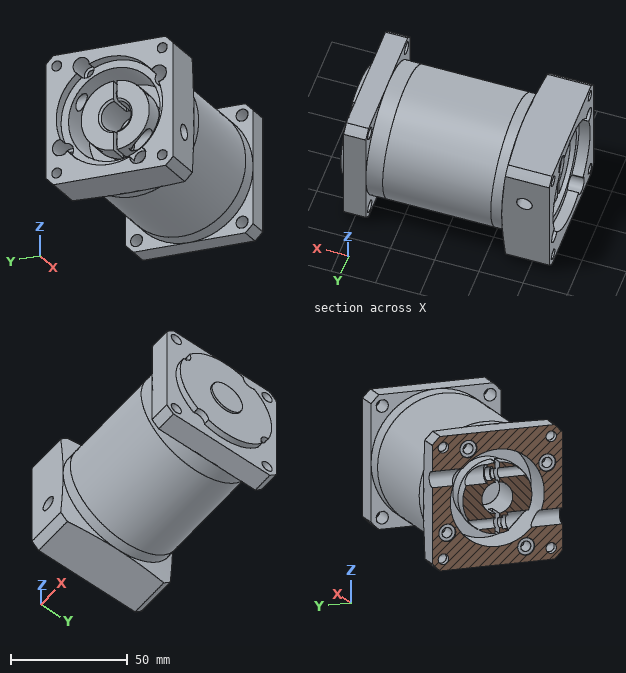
import cadquery as cq
import math


cone_start = 19.9
input_plate_end = 21.5
tube_start = 26.5
tube_end = 75.4
output_plate_start = 82.9
output_plate_end = 93.1
pilot_end = 96.0
gearbox_end = 97.0

plate_width = 60.0
body_radius = plate_width / 2
corner_radius = 40.0
corner_hole_spacing = 49.7
input_corner_hole_diameter = 4.6
input_corner_hole_depth = 13.6
output_corner_hole_diameter = 5.5
drill_point_angle = 118.0

recess_radius = 25.0
recess_depth = 5.0
cavity_radius = 21.5

bolt_circle_radius = 26.6
bolt_angles = (60, 150, 240, 330)
counterbore_diameter = 7.6
counterbore_depth = 11.6
bolt_hole_diameter = 4.6
bolt_hole_depth = 7.8

hub_start = 6.0
hub_collar_end = 16.7
hub_radius = 16.0
neck_radius = 14.55
shaft_bore_radius = 7.0
bore_mouth_radius = 8.0
bore_chamfer = 1.0
slit_width = 1.7
slit_end = 19.4

screw_x = 11.3
screw_offset = 11.1
screw_hole_diameter = 4.3
screw_head_diameter = 5.8
screw_seat_offset = 2.4
spot_face_diameter = 8.1
spot_face_offset = 4.85
access_hole_diameter = 7.0

pilot_radius = 25.0
shaft_end_radius = 8.3


def cylinder(radius, start, end, y=0, z=0):
    """A cylinder parallel to X between two stations."""
    return cq.Workplane("YZ", origin=(start, y, z)).circle(radius).extrude(end - start)


def cross_cylinder(diameter, z, start, end):
    """A cylinder parallel to Y at the clamp screw station."""
    direction = math.copysign(1, end - start)
    plane = cq.Plane(origin=(screw_x, start, z), xDir=(1, 0, 0), normal=(0, direction, 0))
    return cq.Workplane(plane).circle(diameter / 2).extrude(abs(end - start))


def drilled_hole(diameter, start, depth, y, z):
    """A blind hole along +X with a conical drill point."""
    radius = diameter / 2
    point_length = radius / math.tan(math.radians(drill_point_angle / 2))
    profile = (
        cq.Workplane("XY", origin=(start, y, z))
        .polyline([(0, 0), (0, radius), (depth, radius), (depth + point_length, 0)])
        .close()
    )
    return profile.revolve(360, (0, 0, 0), (1, 0, 0))


def square_plate(start, end):
    """A square plate whose corners are turned to the corner radius."""
    square = cq.Workplane("YZ", origin=(start, 0, 0)).rect(plate_width, plate_width).extrude(end - start)
    return square.intersect(cylinder(corner_radius, start, end))


def corner_points():
    half = corner_hole_spacing / 2
    return [(y, z) for y in (-half, half) for z in (-half, half)]


def bolt_points():
    angles = [math.radians(angle) for angle in bolt_angles]
    return [(bolt_circle_radius * math.cos(a), bolt_circle_radius * math.sin(a)) for a in angles]


def make_input_flange():
    rear_cone = (
        cq.Workplane("XY")
        .polyline([
            (0, 0), (0, corner_radius), (cone_start, corner_radius),
            (input_plate_end, body_radius), (input_plate_end, 0),
        ])
        .close()
        .revolve(360, (0, 0, 0), (1, 0, 0))
    )
    flange = square_plate(0, input_plate_end).intersect(rear_cone)
    flange = flange.union(cylinder(body_radius, input_plate_end, tube_start))

    flange = flange.cut(cylinder(recess_radius, 0, recess_depth))
    flange = flange.cut(cylinder(cavity_radius, 0, tube_start))

    for y, z in corner_points():
        flange = flange.cut(drilled_hole(input_corner_hole_diameter, 0, input_corner_hole_depth, y, z))

    for y, z in bolt_points():
        flange = flange.cut(cylinder(counterbore_diameter / 2, 0, counterbore_depth, y, z))
        flange = flange.cut(drilled_hole(bolt_hole_diameter, counterbore_depth, bolt_hole_depth, y, z))

    for side in (-1, 1):
        flange = flange.cut(cross_cylinder(access_hole_diameter, side * screw_offset, side * body_radius, 0))
    return flange


def make_gear_tube():
    tube = cylinder(body_radius, tube_start, tube_end)
    tube = tube.union(cylinder(neck_radius, hub_collar_end, tube_start))
    tube = tube.union(cylinder(hub_radius, hub_start, hub_collar_end))

    bore = cylinder(shaft_bore_radius, hub_start, tube_start)
    mouth = (
        cq.Workplane("YZ", origin=(hub_start, 0, 0))
        .circle(bore_mouth_radius)
        .workplane(offset=bore_chamfer)
        .circle(shaft_bore_radius)
        .loft()
    )
    tube = tube.cut(bore).cut(mouth)

    slit_length = slit_end - hub_start
    slit = cq.Workplane("XY").box(slit_length, slit_width, 2 * hub_radius, centered=(False, True, True))
    tube = tube.cut(slit.translate((hub_start, 0, 0)))

    for side in (-1, 1):
        z = side * screw_offset
        tube = tube.cut(cross_cylinder(screw_hole_diameter, z, side * hub_radius, -side * hub_radius))
        tube = tube.cut(cross_cylinder(screw_head_diameter, z, side * hub_radius, side * screw_seat_offset))
        tube = tube.cut(cross_cylinder(spot_face_diameter, z, side * hub_radius, side * spot_face_offset))
    return tube


def make_output_flange():
    flange = cylinder(body_radius, tube_end, output_plate_start)
    flange = flange.union(square_plate(output_plate_start, output_plate_end))
    for y, z in corner_points():
        hole = cylinder(output_corner_hole_diameter / 2, output_plate_start, output_plate_end, y, z)
        flange = flange.cut(hole)

    pilot = cylinder(pilot_radius, output_plate_end, pilot_end)
    for y, z in bolt_points():
        pilot = pilot.cut(cylinder(counterbore_diameter / 2, output_plate_end, pilot_end, y, z))
    shaft_end = cylinder(shaft_end_radius, pilot_end, gearbox_end)
    return flange.union(pilot).union(shaft_end)


input_flange = make_input_flange()
gear_tube = make_gear_tube()
output_flange = make_output_flange()

result = cq.Compound.makeCompound([input_flange.val(), gear_tube.val(), output_flange.val()])